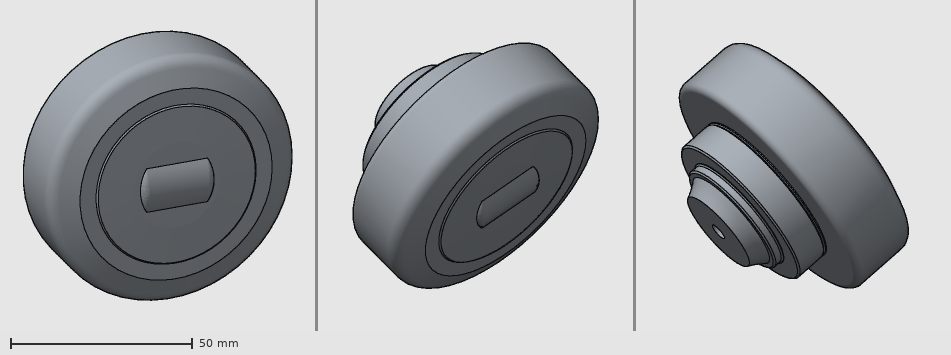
import cadquery as cq
import math


NOSE_RADIUS = 12.55
NOSE_BASE_RADIUS = 15.5
NOSE_LENGTH = 4.9
FLANK_SAG = 0.185
BORE_DIAMETER = 4.95
BORE_DEPTH = 5.9

COLLAR_RADIUS = 35.0 / 2
COLLAR_CHAMFER = 0.5
FLARE_START = 7.4
FLARE_END = 7.8
FLARE_RADIUS = 17.9

HUB_START = 8.0
HUB_RADIUS = 48 / 2
HUB_CHAMFER = 0.5
GROOVE_CENTER = 17.7
GROOVE_HALF_WIDTH = 0.4
GROOVE_DEPTH = 0.33

WHEEL_START = 18.45
WHEEL_END = 41.4
WHEEL_RADIUS = 36.9
WHEEL_FILLET = 2.15
SHOULDER_START = 35.6
SHOULDER_RADIUS = 4.05
CONE_ANGLE = math.radians(20.3)

CAP_RIM = 41.85
CAP_EDGE_CHAMFER = 0.45
CAP_CROWN = 42.15
CAP_CROWN_RADIUS = 12.9

BAR_TOP = 44.0
BAR_STRAIGHT_LENGTH = 18.0
BAR_WIDTH = 13.7
BAR_ROOT = 42.0


def arc_middle(center_x, center_r, radius, angle):
    """Point on a circle, with the angle measured from the radial direction."""
    return (center_x + radius * math.sin(angle), center_r + radius * math.cos(angle))


def make_roller():
    flank_angle = math.atan2(NOSE_BASE_RADIUS - NOSE_RADIUS, NOSE_LENGTH)
    flank_middle = (
        NOSE_LENGTH / 2 + FLANK_SAG * math.sin(flank_angle),
        (NOSE_RADIUS + NOSE_BASE_RADIUS) / 2 - FLANK_SAG * math.cos(flank_angle),
    )
    fillet_center = (WHEEL_START + WHEEL_FILLET, WHEEL_RADIUS - WHEEL_FILLET)
    shoulder_center = (SHOULDER_START, WHEEL_RADIUS - SHOULDER_RADIUS)
    shoulder_turn = math.pi / 2 - CONE_ANGLE
    cone_start = arc_middle(*shoulder_center, SHOULDER_RADIUS, shoulder_turn)
    cone_end_radius = cone_start[1] - (WHEEL_END - cone_start[0]) / math.tan(CONE_ANGLE)

    profile = (
        cq.Workplane("XY")
        .lineTo(0, NOSE_RADIUS)
        .threePointArc(flank_middle, (NOSE_LENGTH, NOSE_BASE_RADIUS))
        .lineTo(NOSE_LENGTH, COLLAR_RADIUS - COLLAR_CHAMFER)
        .lineTo(NOSE_LENGTH + COLLAR_CHAMFER, COLLAR_RADIUS)
        .lineTo(FLARE_START, COLLAR_RADIUS)
        .lineTo(FLARE_END, FLARE_RADIUS)
        .lineTo(HUB_START, FLARE_RADIUS)
        .lineTo(HUB_START, HUB_RADIUS - HUB_CHAMFER)
        .lineTo(HUB_START + HUB_CHAMFER, HUB_RADIUS)
        .lineTo(GROOVE_CENTER - GROOVE_HALF_WIDTH, HUB_RADIUS)
        .lineTo(GROOVE_CENTER, HUB_RADIUS - GROOVE_DEPTH)
        .lineTo(GROOVE_CENTER + GROOVE_HALF_WIDTH, HUB_RADIUS)
        .lineTo(WHEEL_START, HUB_RADIUS)
        .lineTo(WHEEL_START, fillet_center[1])
        .threePointArc(
            arc_middle(*fillet_center, WHEEL_FILLET, -math.pi / 4),
            (fillet_center[0], WHEEL_RADIUS),
        )
        .lineTo(SHOULDER_START, WHEEL_RADIUS)
        .threePointArc(
            arc_middle(*shoulder_center, SHOULDER_RADIUS, shoulder_turn / 2),
            cone_start,
        )
        .lineTo(WHEEL_END, cone_end_radius)
        .lineTo(WHEEL_END, HUB_RADIUS)
        .lineTo(CAP_RIM, HUB_RADIUS - CAP_EDGE_CHAMFER)
        .lineTo(CAP_CROWN, CAP_CROWN_RADIUS)
        .lineTo(CAP_CROWN, 0)
        .close()
    )
    return profile.revolve(360, (0, 0, 0), (1, 0, 0))


def make_bore():
    return cq.Workplane("YZ").circle(BORE_DIAMETER / 2).extrude(BORE_DEPTH)


def make_bar_section(y):
    """Half-lens section of the bar in the plane at the given Y."""
    half_width = BAR_WIDTH / 2
    return (
        cq.Workplane("XZ", origin=(0, y, 0))
        .moveTo(BAR_ROOT, -half_width)
        .threePointArc((BAR_TOP, 0), (BAR_ROOT, half_width))
        .close()
    )


def make_bar():
    half_length = BAR_STRAIGHT_LENGTH / 2
    bar = make_bar_section(half_length).extrude(BAR_STRAIGHT_LENGTH)
    for y in (-half_length, half_length):
        bar = bar.union(make_bar_section(y).revolve(360, (BAR_ROOT, 0, 0), (BAR_ROOT, 1, 0)))
    return bar


result = make_roller().cut(make_bore()).union(make_bar())